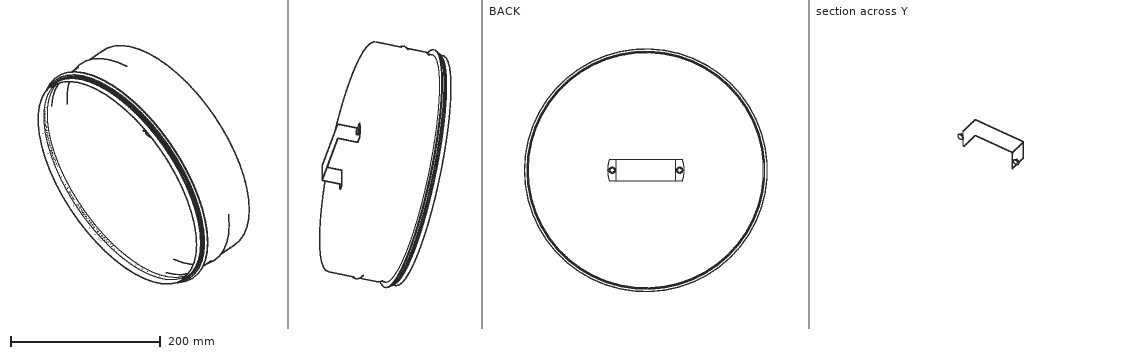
import cadquery as cq
import math


wall = 0.55
shell_depth = 96.5
shell_radius = 314.0 / 2
back_corner_radius = 3.0

bead_y = 55.8
bead_height = 2.0
bead_half_width = 4.0
bead_crest_half_width = 1.5

neck_radius = 310.3 / 2
neck_step_width = 4.0
neck_shoulder_width = 1.0
neck_back_y = 25.5

hem_flare_y = 6.5
hem_collar_y = 7.8
hem_collar_radius = 158.0

gasket_front_y = 9.7
gasket_back_y = 16.0
gasket_body_radius = 156.3
small_lip_radius = 319.5 / 2
small_lip_tip_back_y = 11.0
small_lip_root_back_y = 12.3
large_lip_radius = 324.2 / 2
large_lip_front_y = 13.5
large_lip_tip_back_y = 15.0

strap_thickness = 1.0
strap_width = 28.2
handle_width = 79.5
handle_height = 28.5
handle_span = 101.8
bend_inner_radius = 1.0
foot_end_bulge = 2.3

screw_x = 45.0
shank_diameter = 5.2
shank_length = 2.3
core_diameter = 4.0
core_length = 2.0
tip_diameter = 2.0
tip_length = 2.3
flange_diameter = 8.5
flange_thickness = 1.0
head_across_flats = 6.5
head_height = 2.0

hem_radius = (shell_radius - neck_radius + wall) / 2
bead_arc_share = 1 - bead_crest_half_width / bead_half_width
shoulder_share = neck_shoulder_width / neck_step_width
foot_y = shell_depth + strap_thickness
bend_outer_radius = bend_inner_radius + strap_thickness


def step_joint(start, end, share, depth):
    """Point where the two arcs of an S-shaped step meet, on a surface depth inside the outer one.

    Both arcs turn through the same angle; share is the part of the step taken by the first one."""
    rise = end[0] - start[0]
    run = end[1] - start[1]
    turn = 2 * math.atan2(rise, run)
    radius = start[0] + share * rise - depth * math.cos(turn)
    return radius, start[1] + share * run + depth * math.sin(turn)


def wall_curves(depth):
    """Curved stretches of the wall from front to back; each is a list of arc ends (radius, y)."""

    def step(start, end, share):
        return [
            (start[0] - depth, start[1]),
            step_joint(start, end, share, depth),
            (end[0] - depth, end[1]),
        ]

    neck_step_curve = step(
        (neck_radius, neck_back_y - neck_step_width), (shell_radius, neck_back_y), 1 - shoulder_share
    )
    crest = (shell_radius + bead_height, bead_y)
    bead_rise = step((shell_radius, bead_y - bead_half_width), crest, bead_arc_share)
    bead_fall = step(crest, (shell_radius, bead_y + bead_half_width), 1 - bead_arc_share)
    bead = bead_rise[:2] + bead_fall[1:]
    corner = [
        (shell_radius - depth, shell_depth - back_corner_radius),
        (shell_radius - back_corner_radius, shell_depth - depth),
    ]
    return [neck_step_curve, bead, corner]


def draw_curves(path, curves):
    """Continue path along straight lines joined by the tangent arcs of each curve."""
    for start, *arc_ends in curves:
        path = path.lineTo(*start)
        for arc_end in arc_ends:
            path = path.tangentArcPoint(arc_end, relative=False)
    return path


def revolve_about_y(profile):
    return profile.close().revolve(360, (0, 0, 0), (0, 1, 0))


def make_shell():
    hem_centre = shell_radius - hem_radius
    neck_inner_radius = neck_radius - wall
    outer_curves = [curve[::-1] for curve in reversed(wall_curves(0))]

    path = cq.Workplane("XY").moveTo(hem_collar_radius, gasket_front_y)
    path = path.lineTo(hem_collar_radius, hem_collar_y)
    path = path.lineTo(shell_radius, hem_flare_y).lineTo(shell_radius, hem_radius)
    path = path.threePointArc((hem_centre, 0), (neck_inner_radius, hem_radius))
    path = draw_curves(path, wall_curves(wall)).lineTo(0, shell_depth - wall).lineTo(0, shell_depth)
    path = draw_curves(path, outer_curves).lineTo(neck_radius, hem_radius)
    path = path.threePointArc((hem_centre, wall), (shell_radius - wall, hem_radius))
    path = path.lineTo(shell_radius - wall, hem_flare_y)
    path = path.lineTo(hem_collar_radius - wall, hem_collar_y)
    path = path.lineTo(hem_collar_radius - wall, gasket_front_y)
    return revolve_about_y(path).cut(screw_holes())


def make_gasket():
    profile = cq.Workplane("XY").polyline([
        (neck_radius, gasket_front_y),
        (small_lip_radius, gasket_front_y),
        (small_lip_radius, small_lip_tip_back_y),
        (gasket_body_radius, small_lip_root_back_y),
        (gasket_body_radius, large_lip_front_y),
        (large_lip_radius, large_lip_front_y),
        (large_lip_radius, large_lip_tip_back_y),
        (gasket_body_radius, gasket_back_y),
        (neck_radius, gasket_back_y),
    ])
    return revolve_about_y(profile)


def bend_edges(x, y):
    """Selector for the two edges along Z that pass through (-x, y) and (x, y)."""
    reach = strap_thickness / 4
    left, right = (
        cq.selectors.BoxSelector(
            (edge_x - reach, y - reach, -strap_width), (edge_x + reach, y + reach, strap_width)
        )
        for edge_x in (-x, x)
    )
    return left + right


def make_handle():
    leg_x = handle_width / 2
    foot_x = handle_span / 2
    top_y = shell_depth + handle_height
    inner_leg_x = leg_x - strap_thickness

    strap = (
        cq.Workplane("XY")
        .moveTo(-foot_x, shell_depth)
        .lineTo(-inner_leg_x, shell_depth)
        .lineTo(-inner_leg_x, top_y - strap_thickness)
        .lineTo(inner_leg_x, top_y - strap_thickness)
        .lineTo(inner_leg_x, shell_depth)
        .lineTo(foot_x, shell_depth)
        .lineTo(foot_x, foot_y)
        .lineTo(leg_x, foot_y)
        .lineTo(leg_x, top_y)
        .lineTo(-leg_x, top_y)
        .lineTo(-leg_x, foot_y)
        .lineTo(-foot_x, foot_y)
        .close()
        .extrude(strap_width / 2, both=True)
    )

    strap = strap.edges(bend_edges(leg_x, top_y) + bend_edges(inner_leg_x, shell_depth))
    strap = strap.fillet(bend_outer_radius)
    strap = strap.edges(bend_edges(leg_x, foot_y) + bend_edges(inner_leg_x, top_y - strap_thickness))
    strap = strap.fillet(bend_inner_radius)

    corner_x = foot_x - foot_end_bulge
    half_width = strap_width / 2
    outline = (
        cq.Workplane("XZ", origin=(0, shell_depth, 0))
        .moveTo(-corner_x, -half_width)
        .lineTo(corner_x, -half_width)
        .threePointArc((foot_x, 0), (corner_x, half_width))
        .lineTo(-corner_x, half_width)
        .threePointArc((-foot_x, 0), (-corner_x, -half_width))
        .close()
        .extrude(-handle_height)
    )
    return strap.intersect(outline).cut(screw_holes())


def cylinder_along_y(x, start_y, end_y, diameter):
    base = cq.Workplane("XZ", origin=(x, start_y, 0))
    return base.circle(diameter / 2).extrude(start_y - end_y)


def screw_holes():
    """Both screw holes, through the handle feet and the back of the shell."""
    left, right = (
        cylinder_along_y(x, shell_depth - wall, foot_y, shank_diameter) for x in (-screw_x, screw_x)
    )
    return left.union(right)


def make_screw(x):
    flange_top = foot_y + flange_thickness
    shank_end = shell_depth - wall - shank_length
    core_end = shank_end - core_length
    tip_end = core_end - tip_length

    head = (
        cq.Workplane("XZ", origin=(x, flange_top, 0))
        .polygon(6, head_across_flats, circumscribed=True)
        .extrude(-head_height)
    )
    return (
        head.union(cylinder_along_y(x, foot_y, flange_top, flange_diameter))
        .union(cylinder_along_y(x, shank_end, foot_y, shank_diameter))
        .union(cylinder_along_y(x, core_end, shank_end, core_diameter))
        .union(cylinder_along_y(x, tip_end, core_end, tip_diameter))
    )


shell = make_shell()
gasket = make_gasket()
handle = make_handle()
screws = [make_screw(x) for x in (-screw_x, screw_x)]

result = cq.Compound.makeCompound(
    [shell.val(), gasket.val(), handle.val(), *(screw.val() for screw in screws)]
)